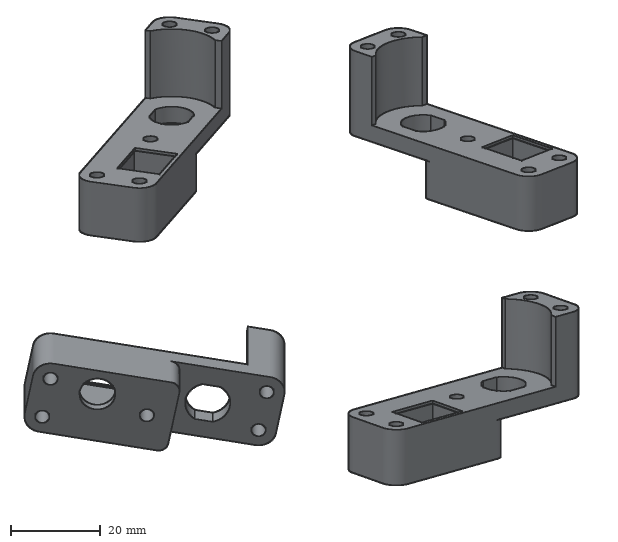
import cadquery as cq

width = 18.0
length = 57.0
height = 29.5

corner_radius = 4.0
plate_thickness = 4.0
plate_top = 13.1
plate_bottom = plate_top - plate_thickness
block_length = 32.9
block_rear_radius = 2.3
post_depth = 9.0
post_front = length - post_depth

screw_hole_diameter = 3.2
screw_x = width / 2 - corner_radius
screw_rows_y = (corner_radius, length - corner_radius)
middle_hole_x = -0.4
middle_hole_y = 26.85

flat_hole_x = -0.15
flat_hole_y = 40.6
flat_hole_diameter = 10.05
flat_hole_width = 9.2
relief_radius = 10.65

pocket_x = 3.0
pocket_y = 15.0
pocket_width = 10.0
pocket_length = 12.0
pocket_floor = 2.0
pocket_lip_thickness = 0.75
pocket_undercut = 0.3
floor_hole_diameter = 8.0


def upright_box(size_x, y_start, y_end, z_start, z_end):
    """Box centred on X between the given Y and Z limits."""
    return (
        cq.Workplane("XY", origin=(0, y_start, z_start))
        .box(size_x, y_end - y_start, z_end - z_start, centered=(True, False, False))
    )


def upright_cylinder(x, y, diameter, z_start, z_end):
    """Vertical cylinder between two heights."""
    return cq.Workplane("XY", origin=(x, y, z_start)).circle(diameter / 2).extrude(z_end - z_start)


def make_body():
    """Plate with a post at the rear and a block below the front, joined in a Z shape."""
    plate = upright_box(width, 0, length, plate_bottom, plate_top).edges("|Z").fillet(corner_radius)
    post = (
        upright_box(width, post_front, length, plate_bottom, height)
        .edges("|Z and >Y").fillet(corner_radius)
    )
    block = (
        upright_box(width, 0, block_length, 0, plate_top)
        .edges("|Z and <Y").fillet(corner_radius)
    )
    block_rear = (
        upright_box(width, 0, block_length, 0, plate_bottom)
        .edges("|Z and >Y").fillet(block_rear_radius)
    )
    lower_block = block.intersect(block_rear)
    return plate.union(post).union(lower_block)


def make_flat_hole():
    """Round hole with two flats facing X."""
    round_hole = upright_cylinder(flat_hole_x, flat_hole_y, flat_hole_diameter, 0, height)
    flats = (
        cq.Workplane("XY")
        .center(flat_hole_x, flat_hole_y)
        .rect(flat_hole_width, flat_hole_diameter)
        .extrude(height)
    )
    return round_hole.intersect(flats)


def make_pocket():
    """Rectangular mouth, a slightly wider cavity under the lip, and the hole in the floor."""
    lip_bottom = plate_top - pocket_lip_thickness
    mouth = (
        cq.Workplane("XY", origin=(pocket_x, pocket_y, lip_bottom))
        .rect(pocket_width, pocket_length)
        .extrude(pocket_lip_thickness)
    )
    cavity = (
        cq.Workplane("XY", origin=(pocket_x, pocket_y, pocket_floor))
        .rect(pocket_width + 2 * pocket_undercut, pocket_length + 2 * pocket_undercut)
        .extrude(lip_bottom - pocket_floor)
    )
    floor_hole = upright_cylinder(pocket_x, pocket_y, floor_hole_diameter, 0, lip_bottom)
    return mouth.union(cavity).union(floor_hole)


result = make_body()

result = result.cut(upright_cylinder(flat_hole_x, flat_hole_y, 2 * relief_radius, plate_top, height))

hole_places = [(x, y) for x in (-screw_x, screw_x) for y in screw_rows_y]
hole_places.append((middle_hole_x, middle_hole_y))
for hole_x, hole_y in hole_places:
    result = result.cut(upright_cylinder(hole_x, hole_y, screw_hole_diameter, 0, height))

result = result.cut(make_flat_hole())
result = result.cut(make_pocket())